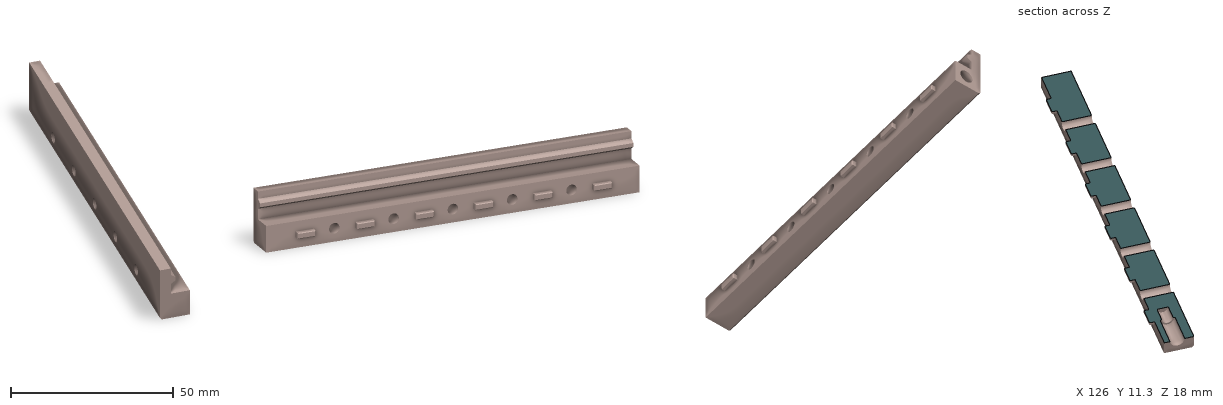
import cadquery as cq

length = 126.0
height = 18.0
total_depth = 11.3
plate_thickness = 3.5
block_depth = 9.7
block_height = 8.8
front_chamfer = 0.6

rib_center_z = 14.0
rib_height = 1.5
rib_base_width = 3.3
rib_crest_width = 1.3

feature_z = block_height / 2
cross_hole_count = 5
cross_hole_diameter = 3.5

tab_count = 6
tab_inset = 13.0
pitch = (length - 2 * tab_inset) / (tab_count - 1)
tab_length = 6.0
tab_thickness = 2.0
tab_edge_chamfer = 0.3

bore_y = 5.4
bore_mouth_diameter = 4.7
bore_mouth_depth = 10.1
bore_diameter = 3.5
bore_depth = 15.1


def centered_row(count):
    """X positions of a row of features centered on the rail."""
    return [length / 2 + (i - (count - 1) / 2) * pitch for i in range(count)]


def rail_body():
    rib_crest_y = plate_thickness + rib_height
    outline = [
        (front_chamfer, 0),
        (block_depth, 0),
        (block_depth, block_height),
        (plate_thickness, block_height),
        (plate_thickness, rib_center_z - rib_base_width / 2),
        (rib_crest_y, rib_center_z - rib_crest_width / 2),
        (rib_crest_y, rib_center_z + rib_crest_width / 2),
        (plate_thickness, rib_center_z + rib_base_width / 2),
        (plate_thickness, height),
        (0, height),
        (0, front_chamfer),
    ]
    return cq.Workplane("YZ").polyline(outline).close().extrude(length)


def locating_tab(x):
    """Flat tab standing on the back face, with its outer rim chamfered."""
    protrusion = total_depth - block_depth
    return (
        cq.Workplane("XY")
        .box(tab_length, protrusion, tab_thickness)
        .faces(">Y")
        .chamfer(tab_edge_chamfer)
        .translate((x, block_depth + protrusion / 2, feature_z))
    )


def cross_hole(x):
    radius = cross_hole_diameter / 2
    start = cq.Vector(x, 0, feature_z)
    return cq.Solid.makeCylinder(radius, block_depth, start, cq.Vector(0, 1, 0))


def end_bore():
    section = cq.Workplane("YZ").center(bore_y, feature_z)
    mouth = section.circle(bore_mouth_diameter / 2).extrude(bore_mouth_depth)
    return mouth.union(section.circle(bore_diameter / 2).extrude(bore_depth))


result = rail_body()
for tab_x in centered_row(tab_count):
    result = result.union(locating_tab(tab_x))
for hole_x in centered_row(cross_hole_count):
    result = result.cut(cross_hole(hole_x))
result = result.cut(end_bore())